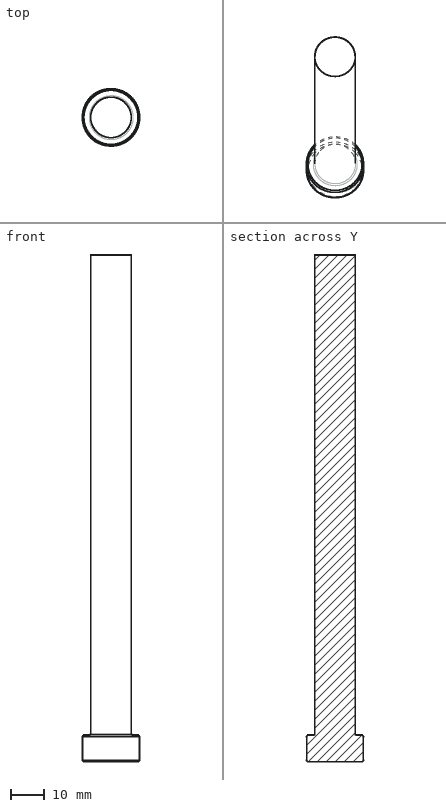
import cadquery as cq

total_length = 150.0
shank_diameter = 12.0
head_diameter = 17.0
head_height = 8.0
head_edge_chamfer = 0.5
root_fillet_radius = 0.5

shank_radius = shank_diameter / 2


def make_head():
    """Cylindrical head with both rims chamfered."""
    head = cq.Workplane("XY").circle(head_diameter / 2).extrude(head_height)
    return head.faces("<Z or >Z").edges().chamfer(head_edge_chamfer)


def make_shank():
    """Plain shank from the top of the head to the tip, flared by a concave fillet at its root."""
    fillet_top = head_height + root_fillet_radius
    profile = (
        cq.Workplane("XZ")
        .moveTo(0, head_height)
        .lineTo(shank_radius + root_fillet_radius, head_height)
        .radiusArc((shank_radius, fillet_top), root_fillet_radius)
        .lineTo(shank_radius, total_length)
        .lineTo(0, total_length)
        .close()
    )
    return profile.revolve(360, (0, 0), (0, 1))


result = make_head().union(make_shank())